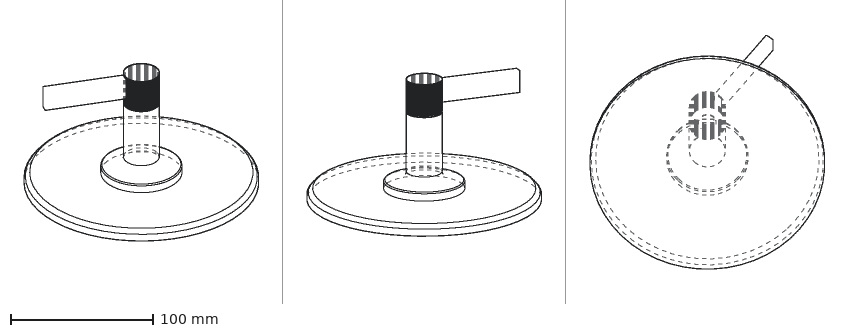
import cadquery as cq

plate_radius = 82.5
plate_height = 8.1
rim_height = 3.6
rim_step_height = 5.0
rim_step_radius = 81.5
shoulder_height = 7.1
shoulder_radius = 79.9
plate_face_radius = 78.5

flange_radius = 28.5
flange_side_top = 13.5
flange_bevel = 0.8
cone_bottom = 14.5
cone_top = 16.5
cone_top_radius = 15.8
post_radius = 12.7
cove_top = 20.0
seam_depth = 0.2
seam_top = 21.3
seam_middle = (cove_top + seam_top) / 2
post_top = 64.9
post_edge = 0.3

neck_radius = 6.3
head_bottom = 65.9
head_top = 89.3
head_radius = post_radius
head_height = head_top - head_bottom
bevel_width = 0.8
bevel_height = 0.2
groove_count = 23
groove_pitch = (head_height - bevel_height) / (groove_count + 0.5)
groove_width = groove_pitch / 2
groove_depth = 0.2

lever_reach = 71.3
lever_width = 6.5
lever_bottom = 71.2
lever_top = 87.5
lever_end_round = 0.8
lever_edge_round = 0.5


def make_plate():
    """Disc with a rounded rim, a sloped step and a rounded shoulder."""
    outline = (
        cq.Workplane("XZ")
        .lineTo(plate_radius, 0)
        .lineTo(plate_radius, rim_height)
        .tangentArcPoint((rim_step_radius, rim_step_height), relative=False)
        .lineTo(shoulder_radius, shoulder_height)
        .tangentArcPoint((plate_face_radius, plate_height), relative=False)
        .lineTo(0, plate_height)
        .close()
    )
    return outline.revolve(360, (0, 0), (0, 1))


def make_post():
    """Flange, cone, cove, seam groove, post and neck as one turned solid."""
    outline = (
        cq.Workplane("XZ")
        .lineTo(flange_radius, 0)
        .lineTo(flange_radius, flange_side_top)
        .lineTo(flange_radius - flange_bevel, cone_bottom)
        .lineTo(cone_top_radius, cone_top)
        .tangentArcPoint((post_radius, cove_top), relative=False)
        .lineTo(post_radius - seam_depth, seam_middle)
        .lineTo(post_radius, seam_top)
        .lineTo(post_radius, post_top - post_edge)
        .lineTo(post_radius - post_edge, post_top)
        .lineTo(neck_radius, post_top)
        .lineTo(neck_radius, head_bottom)
        .lineTo(0, head_bottom)
        .close()
    )
    return outline.revolve(360, (0, 0), (0, 1))


def make_head():
    """Cylinder with a beveled top edge, ringed by evenly spaced V grooves."""
    outline = cq.Workplane("XZ", origin=(0, 0, head_bottom)).lineTo(head_radius, 0)
    for groove in range(groove_count):
        land_top = groove * groove_pitch + groove_pitch - groove_width
        outline = (
            outline.lineTo(head_radius, land_top)
            .lineTo(head_radius - groove_depth, land_top + groove_width / 2)
            .lineTo(head_radius, land_top + groove_width)
        )
    outline = (
        outline.lineTo(head_radius, head_height - bevel_height)
        .lineTo(head_radius - bevel_width, head_height)
        .lineTo(0, head_height)
        .close()
    )
    return outline.revolve(360, (0, 0), (0, 1))


def make_lever():
    """Flat bar from the head axis outward, with rounded edges at its free end."""
    bar = cq.Workplane("XY").box(
        lever_width, lever_reach, lever_top - lever_bottom, centered=(True, False, False)
    )
    bar = bar.translate((0, -lever_reach, lever_bottom))
    bar = bar.faces("<Y").edges("|Z").fillet(lever_end_round)
    return bar.edges("(#Z) and (not >Y)").fillet(lever_edge_round)


result = make_plate().union(make_post()).union(make_head()).union(make_lever())